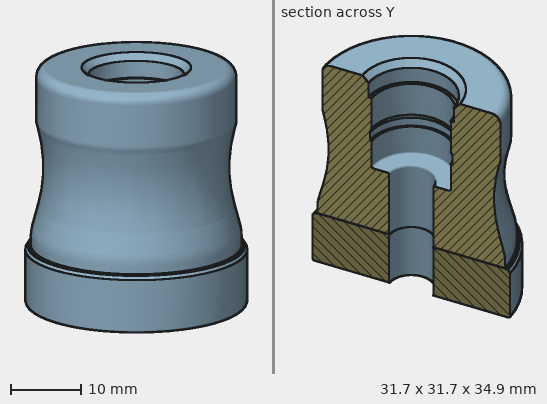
import cadquery as cq
import math

TOTAL_HEIGHT = 34.92

BASE_RADIUS = 15.87
BASE_HEIGHT = 8.4
BASE_TOP_CHAMFER_WIDTH = 0.35
BASE_TOP_CHAMFER_HEIGHT = 0.52
BASE_BOTTOM_FILLET = 0.4

HEAD_RADIUS = 14.3
HEAD_FILLET = 1.5
SHOULDER_RADIUS = 15.1
FOOT_RADIUS = 15.23
FOOT_HEIGHT = 0.15
WAIST_RADIUS = 13.3
WAIST_HEIGHT = 20.15
WAIST_CURVE = 22.8
FLANK_ANGLE = math.radians(15)
HEAD_BLEND = 1.95
SHOULDER_BLEND = 5.25

MOUTH_RADIUS = 6.8
MOUTH_CHAMFER = 1.0
MOUTH_DEPTH = 3.5
POCKET_RADIUS = 6.32
POCKET_DEPTH = 15.7
POCKET_FLOOR_FILLET = 0.3
HOLE_RADIUS = 3.5
HOLE_FILLET = 0.4

GROOVE_RADIUS = 6.6
GROOVE_TOP_DEPTH = 8.87
GROOVE_ROOF_HEIGHT = 0.75
GROOVE_HEIGHT = 2.1


def flank_blend(target_radius, blend_radius, side):
    """Points (start, middle, end) of the arc from a flank to a cylinder; side is +1 up, -1 down."""
    arc_end_radius = WAIST_RADIUS + WAIST_CURVE * (1 - math.cos(FLANK_ANGLE))
    arc_end_rise = WAIST_CURVE * math.sin(FLANK_ANGLE)
    start_radius = target_radius - blend_radius * (1 - math.cos(FLANK_ANGLE))
    start_rise = arc_end_rise + (start_radius - arc_end_radius) / math.tan(FLANK_ANGLE)
    end_rise = start_rise + blend_radius * math.sin(FLANK_ANGLE)
    half = FLANK_ANGLE / 2
    middle_radius = target_radius - blend_radius * (1 - math.cos(half))
    middle_rise = end_rise - blend_radius * math.sin(half)
    return (
        (start_radius, WAIST_HEIGHT + side * start_rise),
        (middle_radius, WAIST_HEIGHT + side * middle_rise),
        (target_radius, WAIST_HEIGHT + side * end_rise),
    )


def make_grip_blank():
    """Solid of revolution with the waisted outline and a thin foot, standing on the base."""
    waist_end_radius = WAIST_RADIUS + WAIST_CURVE * (1 - math.cos(FLANK_ANGLE))
    waist_half_height = WAIST_CURVE * math.sin(FLANK_ANGLE)
    low_start, low_middle, low_end = flank_blend(SHOULDER_RADIUS, SHOULDER_BLEND, -1)
    high_start, high_middle, high_end = flank_blend(HEAD_RADIUS, HEAD_BLEND, 1)
    return (
        cq.Workplane("XZ")
        .moveTo(0, BASE_HEIGHT)
        .lineTo(FOOT_RADIUS, BASE_HEIGHT)
        .lineTo(FOOT_RADIUS, BASE_HEIGHT + FOOT_HEIGHT)
        .lineTo(SHOULDER_RADIUS, BASE_HEIGHT + FOOT_HEIGHT)
        .lineTo(*low_end)
        .threePointArc(low_middle, low_start)
        .lineTo(waist_end_radius, WAIST_HEIGHT - waist_half_height)
        .threePointArc((WAIST_RADIUS, WAIST_HEIGHT), (waist_end_radius, WAIST_HEIGHT + waist_half_height))
        .lineTo(*high_start)
        .threePointArc(high_middle, high_end)
        .lineTo(HEAD_RADIUS, TOTAL_HEIGHT)
        .lineTo(0, TOTAL_HEIGHT)
        .close()
        .revolve(360, (0, 0), (0, 1))
        .faces(">Z").edges().fillet(HEAD_FILLET)
    )


def make_bore():
    """Space inside the grip: chamfered mouth, grooved pocket, and a hole with a rounded rim."""
    mouth_floor = TOTAL_HEIGHT - MOUTH_DEPTH
    groove_top = TOTAL_HEIGHT - GROOVE_TOP_DEPTH
    groove_bottom = groove_top - GROOVE_HEIGHT
    pocket_floor = TOTAL_HEIGHT - POCKET_DEPTH
    diagonal = math.sqrt(0.5)
    floor_arc_middle = (
        POCKET_RADIUS - POCKET_FLOOR_FILLET * (1 - diagonal),
        pocket_floor + POCKET_FLOOR_FILLET * (1 - diagonal),
    )
    hole_arc_middle = (
        HOLE_RADIUS + HOLE_FILLET * (1 - diagonal),
        pocket_floor - HOLE_FILLET * (1 - diagonal),
    )
    return (
        cq.Workplane("XZ")
        .moveTo(0, TOTAL_HEIGHT)
        .lineTo(MOUTH_RADIUS + MOUTH_CHAMFER, TOTAL_HEIGHT)
        .lineTo(MOUTH_RADIUS, TOTAL_HEIGHT - MOUTH_CHAMFER)
        .lineTo(MOUTH_RADIUS, mouth_floor)
        .lineTo(POCKET_RADIUS, mouth_floor)
        .lineTo(POCKET_RADIUS, groove_top)
        .lineTo(GROOVE_RADIUS, groove_top - GROOVE_ROOF_HEIGHT)
        .lineTo(GROOVE_RADIUS, groove_bottom)
        .lineTo(POCKET_RADIUS, groove_bottom)
        .lineTo(POCKET_RADIUS, pocket_floor + POCKET_FLOOR_FILLET)
        .threePointArc(floor_arc_middle, (POCKET_RADIUS - POCKET_FLOOR_FILLET, pocket_floor))
        .lineTo(HOLE_RADIUS + HOLE_FILLET, pocket_floor)
        .threePointArc(hole_arc_middle, (HOLE_RADIUS, pocket_floor - HOLE_FILLET))
        .lineTo(HOLE_RADIUS, BASE_HEIGHT)
        .lineTo(0, BASE_HEIGHT)
        .close()
        .revolve(360, (0, 0), (0, 1))
    )


def make_grip():
    """Waisted grip, hollowed from the top down."""
    return make_grip_blank().cut(make_bore())


def cylinder(radius, bottom, top):
    """Vertical cylinder on the Z axis between two heights."""
    return cq.Workplane("XY").workplane(offset=bottom).circle(radius).extrude(top - bottom)


def make_base():
    """Round base with softened rims, pierced by the through hole."""
    return (
        cylinder(BASE_RADIUS, 0, BASE_HEIGHT)
        .faces(">Z").edges().chamfer(BASE_TOP_CHAMFER_HEIGHT, BASE_TOP_CHAMFER_WIDTH)
        .faces("<Z").edges().fillet(BASE_BOTTOM_FILLET)
        .cut(cylinder(HOLE_RADIUS, 0, BASE_HEIGHT))
    )


grip = make_grip()
base = make_base()

result = cq.Compound.makeCompound([grip.val(), base.val()])